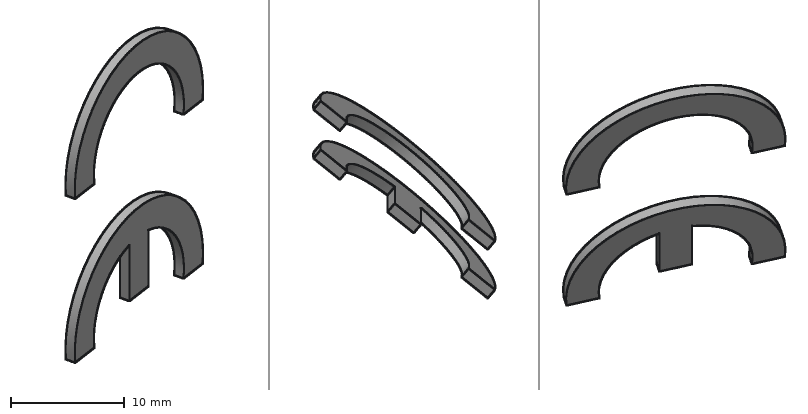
import cadquery as cq

total_height = 28.0
thickness = 1.0
outer_radius = 10.0
inner_radius = 7.0
leg_drop = 1.0
tongue_bottom = 1.0

band_width = outer_radius - inner_radius
tongue_width = band_width
arch_height = outer_radius + leg_drop
arch_pitch = total_height - arch_height
tongue_top = (inner_radius + outer_radius) / 2


def block(width, bottom, top):
    """Plate of the common thickness, centred on Y, between two heights."""
    return (
        cq.Workplane("XY")
        .box(thickness, width, top - bottom, centered=(True, True, False))
        .translate((0, 0, bottom))
    )


def make_arch():
    """Flat ring about the X axis, cut off level just below its centre."""
    ring = (
        cq.Workplane("YZ")
        .circle(outer_radius)
        .circle(inner_radius)
        .extrude(thickness / 2, both=True)
    )
    return ring.intersect(block(2 * outer_radius, -leg_drop, outer_radius))


def make_tongued_arch():
    """Arch with a straight tongue hanging from the middle of its crown."""
    return make_arch().union(block(tongue_width, tongue_bottom, tongue_top))


tongued_arch = make_tongued_arch()
plain_arch = make_arch().translate((0, 0, arch_pitch))

result = cq.Compound.makeCompound([tongued_arch.solids().val(), plain_arch.solids().val()])